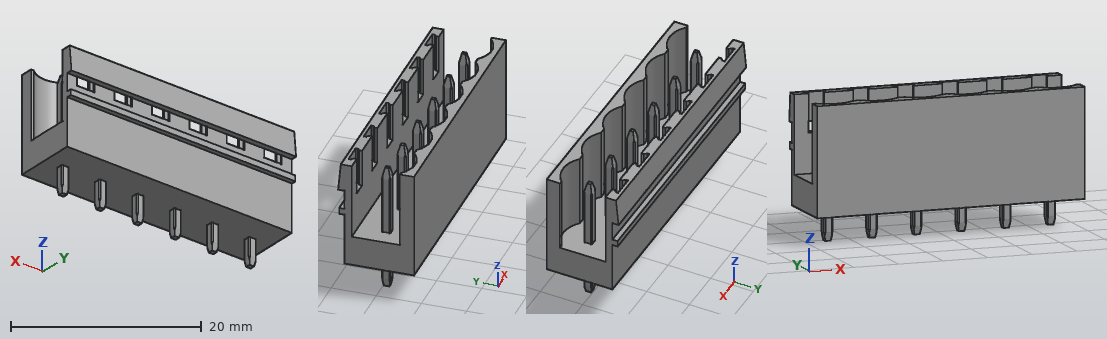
import cadquery as cq

length = 30.0
pin_count = 6
pitch = length / pin_count
pin_positions = [(i + 0.5) * pitch for i in range(pin_count)]

housing_depth = 7.7
housing_height = 12.0
floor_thickness = 3.42
front_wall = 1.55
back_wall = 0.8
back_wall_inner = housing_depth - back_wall

lip_height = 3.15
lip_bottom = housing_height - lip_height
lip_top_projection = 0.42
lip_bottom_projection = 0.72

rib_bottom = 5.95
rib_top = 6.65
rib_projection = 0.6

slot_drop = 4.2
slot_mouth_width = 1.77
slot_wide_width = 2.35
slot_mouth_depth = 0.3
slot_flare_end = 0.57

scallop_width = 4.25
scallop_depth = 0.85

pin_front = 3.3
pin_width = 1.0
pin_y = pin_front + pin_width / 2
pin_corner_chamfer = 0.15
pin_bottom = -3.2
pin_top = 11.1
top_taper = 1.25
top_tip_width = 0.4
bottom_taper = 1.0
bottom_tip_width = 0.6


def make_housing_body():
    """Trough with its lip and rib, as one profile swept along X."""
    lip_top_y = housing_depth + lip_top_projection
    lip_bottom_y = housing_depth + lip_bottom_projection
    rib_y = housing_depth + rib_projection
    profile = [
        (0, 0),
        (housing_depth, 0),
        (housing_depth, rib_bottom),
        (rib_y, rib_bottom),
        (rib_y, rib_top),
        (housing_depth, rib_top),
        (housing_depth, lip_bottom),
        (lip_bottom_y, lip_bottom),
        (lip_top_y, housing_height),
        (back_wall_inner, housing_height),
        (back_wall_inner, floor_thickness),
        (front_wall, floor_thickness),
        (front_wall, housing_height),
        (0, housing_height),
    ]
    return cq.Workplane("YZ").polyline(profile).close().extrude(length)


def make_keying_slot(x):
    """Flared slot, open at the top; it opens into a window below the lip."""
    mouth = slot_mouth_width / 2
    wide = slot_wide_width / 2
    mouth_end_y = back_wall_inner + slot_mouth_depth
    flare_end_y = back_wall_inner + slot_flare_end
    outline = [
        (x - mouth, back_wall_inner),
        (x + mouth, back_wall_inner),
        (x + mouth, mouth_end_y),
        (x + wide, flare_end_y),
        (x + wide, housing_depth),
        (x - wide, housing_depth),
        (x - wide, flare_end_y),
        (x - mouth, mouth_end_y),
    ]
    slot_bottom = housing_height - slot_drop
    return cq.Workplane("XY", origin=(0, 0, slot_bottom)).polyline(outline).close().extrude(slot_drop)


def make_scallop(x):
    """Shallow round hollow running from the floor of the trough to the top of the front wall."""
    return (
        cq.Workplane("XY", origin=(0, 0, floor_thickness))
        .moveTo(x - scallop_width / 2, front_wall)
        .threePointArc((x, front_wall - scallop_depth), (x + scallop_width / 2, front_wall))
        .close()
        .extrude(housing_height - floor_thickness)
    )


def make_taper(x, base_z, base_width, tip_width, height):
    """Square frustum from base_z to base_z + height; a negative height points down."""
    return (
        cq.Workplane("XY", origin=(x, pin_y, base_z))
        .rect(base_width, base_width)
        .workplane(offset=height)
        .rect(tip_width, tip_width)
        .loft(ruled=True)
    )


def make_pin_bar(x):
    """Square bar with chamfered long edges, over the full pin length."""
    return (
        cq.Workplane("XY", origin=(x, pin_y, pin_bottom))
        .rect(pin_width, pin_width)
        .extrude(pin_top - pin_bottom)
        .edges("|Z")
        .chamfer(pin_corner_chamfer)
    )


def make_pin(x):
    """Chamfered bar, trimmed to a square taper at each end."""
    shank_bottom = pin_bottom + bottom_taper
    shank_top = pin_top - top_taper
    envelope = (
        cq.Workplane("XY", origin=(x, pin_y, shank_bottom))
        .rect(pin_width, pin_width)
        .extrude(shank_top - shank_bottom)
        .union(make_taper(x, shank_top, pin_width, top_tip_width, top_taper))
        .union(make_taper(x, shank_bottom, pin_width, bottom_tip_width, -bottom_taper))
    )
    return make_pin_bar(x).intersect(envelope)


def make_housing():
    """Trough with slots and scallops at each pin, and a matching hole for each pin."""
    body = make_housing_body()
    for x in pin_positions:
        body = body.cut(make_keying_slot(x)).cut(make_scallop(x)).cut(make_pin_bar(x))
    return body


housing = make_housing()
pins = [make_pin(x) for x in pin_positions]

result = cq.Compound.makeCompound([housing.val(), *[pin.val() for pin in pins]])